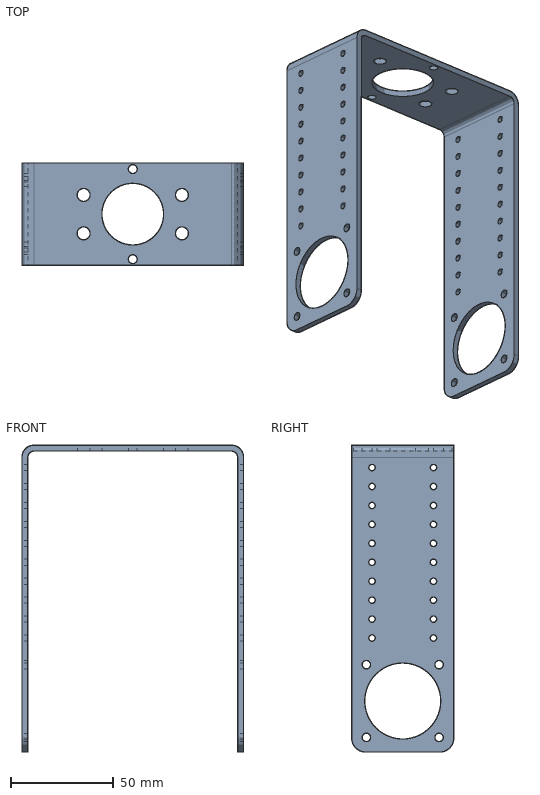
import cadquery as cq

thickness = 3.0
outer_width = 108.34
inner_width = outer_width - 2 * thickness
depth = 50.0
height = 150.0
inner_bend_radius = 3.0
outer_bend_radius = inner_bend_radius + thickness
leg_corner_radius = 7.0

web_bore_diameter = 30.0
web_mount_diameter = 6.2
web_mount_pitch_x = 48.0
web_mount_pitch_y = 18.75
web_edge_hole_diameter = 4.2
web_edge_hole_pitch = 44.0

leg_bore_diameter = 37.0
leg_bore_height = 25.0
leg_mount_diameter = 4.0
leg_mount_pitch = 35.5
row_hole_diameter = 3.0
row_hole_count = 10
row_hole_pitch = 9.25
row_spacing = 30.0
top_row_hole_drop = 11.0
top_row_hole_height = height - top_row_hole_drop


def rounded_block(width, block_height, radius):
    """Full-depth block standing on Z = 0 with its two upper Y edges rounded."""
    return (
        cq.Workplane("XY")
        .box(width, depth, block_height, centered=(True, True, False))
        .edges("|Y and >Z")
        .fillet(radius)
    )


def bent_sheet():
    """Bent strip with the lower corners of both legs rounded."""
    outer = rounded_block(outer_width, height, outer_bend_radius)
    inner = rounded_block(inner_width, height - thickness, inner_bend_radius)
    return outer.cut(inner).edges("|X and <Z").fillet(leg_corner_radius)


def web_holes():
    """Cutters through the web: central bore, four mounts and two edge holes."""
    plane = cq.Workplane("XY").workplane(offset=height - thickness)
    bore = plane.circle(web_bore_diameter / 2).extrude(thickness)
    mounts = (
        plane.rarray(web_mount_pitch_x, web_mount_pitch_y, 2, 2)
        .circle(web_mount_diameter / 2)
        .extrude(thickness)
    )
    edge_holes = (
        plane.rarray(1, web_edge_hole_pitch, 1, 2)
        .circle(web_edge_hole_diameter / 2)
        .extrude(thickness)
    )
    return [bore, mounts, edge_holes]


def leg_holes():
    """Cutters through both legs: bore, four mounts around it and two rows of holes."""
    bore_plane = cq.Workplane("YZ", origin=(-outer_width / 2, 0, leg_bore_height))
    bore = bore_plane.circle(leg_bore_diameter / 2).extrude(outer_width)
    mounts = (
        bore_plane.rarray(leg_mount_pitch, leg_mount_pitch, 2, 2)
        .circle(leg_mount_diameter / 2)
        .extrude(outer_width)
    )
    row_middle = top_row_hole_height - (row_hole_count - 1) * row_hole_pitch / 2
    rows = (
        cq.Workplane("YZ", origin=(-outer_width / 2, 0, row_middle))
        .rarray(row_spacing, row_hole_pitch, 2, row_hole_count)
        .circle(row_hole_diameter / 2)
        .extrude(outer_width)
    )
    return [bore, mounts, rows]


result = bent_sheet()
for cutter in web_holes() + leg_holes():
    result = result.cut(cutter)